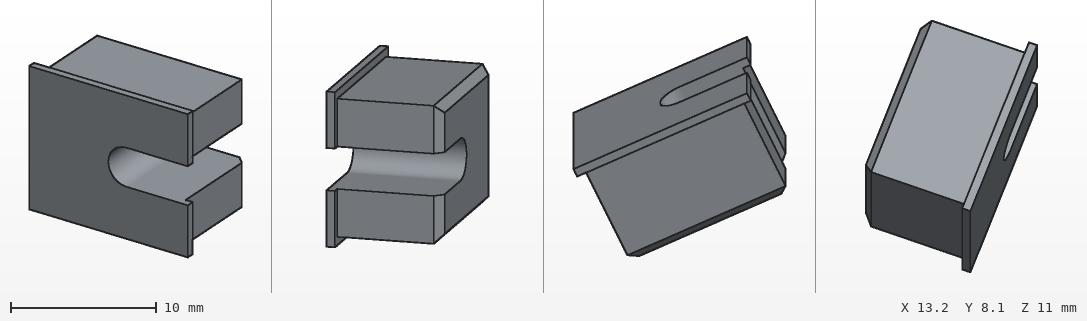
import cadquery as cq

flange_width = 13.15
flange_height = 11.0
flange_thickness = 0.6

side_rim = 0.58
top_bottom_rim = 0.6
total_depth = 8.1
block_width = flange_width - 2 * side_rim
block_height = flange_height - 2 * top_bottom_rim
block_depth = total_depth - flange_thickness
back_chamfer = 0.6

slot_width = 3.0
slot_radius = slot_width / 2
slot_end_x = 0.0
slot_arc_center_x = slot_end_x + slot_radius


def make_flange():
    """Plate with its front face on Y = 0."""
    return cq.Workplane("XY").box(
        flange_width, flange_thickness, flange_height, centered=(True, False, True)
    )


def make_block():
    """Block from the flange to the back face, chamfered around the back."""
    block = cq.Workplane("XY").box(
        block_width, block_depth, block_height, centered=(True, False, True)
    )
    return block.faces(">Y").edges().chamfer(back_chamfer).translate((0, flange_thickness, 0))


def make_slot():
    """Slot cutter running through the full depth along Y."""
    return (
        cq.Workplane("XZ")
        .moveTo(flange_width / 2, slot_radius)
        .lineTo(slot_arc_center_x, slot_radius)
        .threePointArc((slot_end_x, 0), (slot_arc_center_x, -slot_radius))
        .lineTo(flange_width / 2, -slot_radius)
        .close()
        .extrude(-total_depth)
    )


result = make_flange().union(make_block()).cut(make_slot())